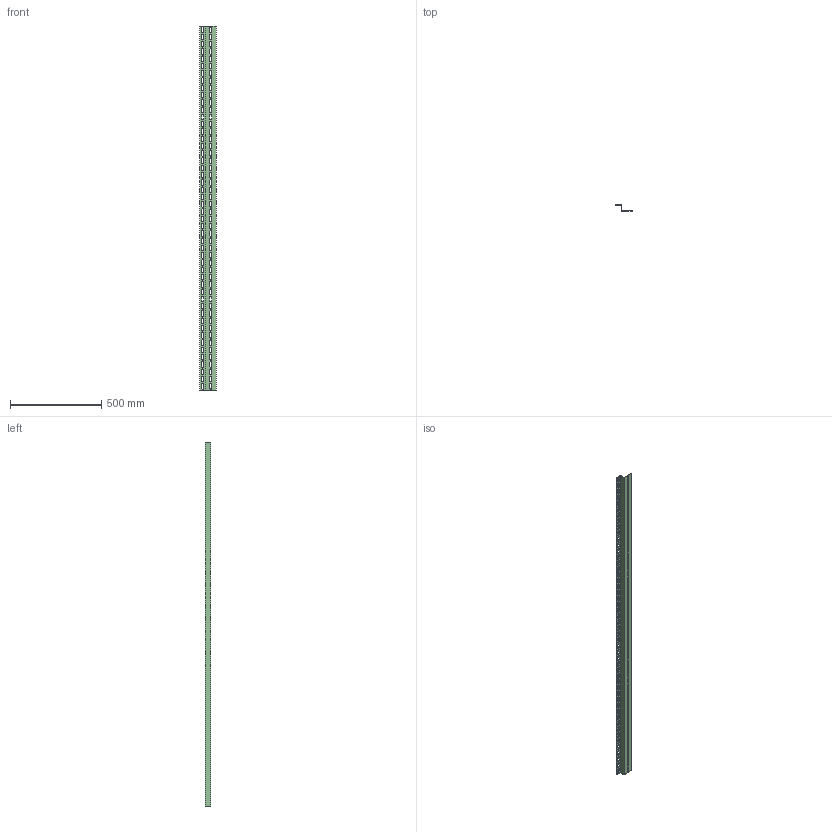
import cadquery as cq

LENGTH = 2000.0
DEPTH = 30.0
THICKNESS = 1.5
NARROW_FLANGE = 32.0
WIDE_FLANGE = 60.0
WEB_LEFT = NARROW_FLANGE - THICKNESS
WEB_RIGHT = NARROW_FLANGE
WIDTH = WEB_LEFT + WIDE_FLANGE

SLOT_LENGTH = 32.0
SLOT_WIDTH = 10.0
SLOT_PITCH = 40.0
SLOT_COUNT = round(LENGTH / SLOT_PITCH)
FIRST_SLOT_Z = SLOT_PITCH / 2
NARROW_FLANGE_MIDDLE = NARROW_FLANGE / 2
WIDE_FLANGE_MIDDLE = WEB_LEFT + WIDE_FLANGE / 2
ALONG_Z = 90


def z_profile():
    """Z-section along Z: narrow flange at the back, web, wide flange at the front."""
    outline = [
        (WEB_LEFT, 0),
        (WIDTH, 0),
        (WIDTH, THICKNESS),
        (WEB_RIGHT, THICKNESS),
        (WEB_RIGHT, DEPTH),
        (0, DEPTH),
        (0, DEPTH - THICKNESS),
        (WEB_LEFT, DEPTH - THICKNESS),
    ]
    return cq.Workplane("XY").polyline(outline).close().extrude(LENGTH)


def slot_row(center_x):
    """Cutters for one row of slots, running along Y through the whole depth."""
    centers = [(center_x, FIRST_SLOT_Z + i * SLOT_PITCH) for i in range(SLOT_COUNT)]
    slots = cq.Workplane("XZ").pushPoints(centers).slot2D(SLOT_LENGTH, SLOT_WIDTH, ALONG_Z)
    return slots.extrude(-DEPTH)


result = z_profile()
for row_x in (NARROW_FLANGE_MIDDLE, WIDE_FLANGE_MIDDLE):
    result = result.cut(slot_row(row_x))